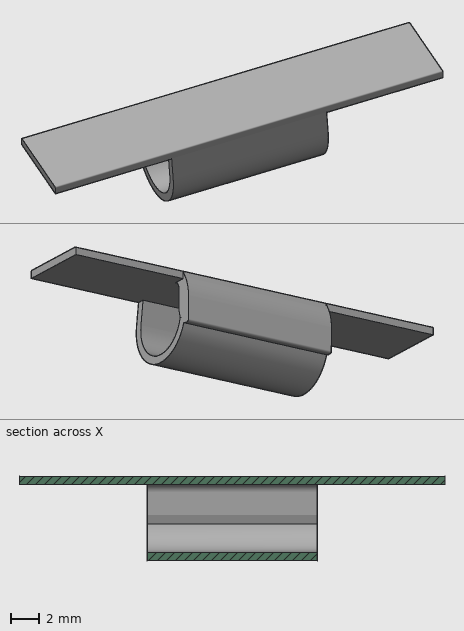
import cadquery as cq
import math

PLATE_LENGTH = 30.0
PLATE_WIDTH = 5.8
PLATE_THICKNESS = 0.6
PLATE_TOP_Z = 2.8
PLATE_EDGE_RADIUS = 0.1

CLIP_LENGTH = 12.0
RING_RADIUS = 3.2
WALL = 0.6

WALL_OUTER_X = -3.6
WALL_INNER_X = -2.35
WALL_BOTTOM_Z = -1.2
WALL_BOTTOM_FLAT = 0.25
WALL_BOTTOM_FILLET = 0.15
NOTCH_Z = -1.14
SHOULDER_START_Z = 0.73
SHOULDER_RADIUS = 3.05
INNER_FACE_BOTTOM_Z = 0.05
RECESS_Z = -0.6
CORNER_WIDTH = 0.45
CORNER_HEIGHT = 0.55

PLATE_BOTTOM_Z = PLATE_TOP_Z - PLATE_THICKNESS
PLATE_HALF_WIDTH = PLATE_WIDTH / 2
BORE_RADIUS = RING_RADIUS - WALL


def point_on_circle(radius, angle):
    return (radius * math.cos(angle), radius * math.sin(angle))


def tangent_angle(point, radius):
    """Polar angle where a line from an upper right point touches the ring's right side."""
    return math.atan2(point[1], point[0]) - math.acos(radius / math.hypot(*point))


def shoulder_point(height):
    """Point on the shoulder arc, which leaves the vertical outer face tangentially."""
    rise = height - SHOULDER_START_Z
    inset = SHOULDER_RADIUS - math.sqrt(SHOULDER_RADIUS**2 - rise**2)
    return (WALL_OUTER_X + inset, height)


def extrude_along_y(profile, length):
    """Extrude a profile on the XZ plane by half the length to each side."""
    return profile.extrude(length / 2, both=True)


def make_plate():
    plate = cq.Workplane("XY").box(PLATE_WIDTH, PLATE_LENGTH, PLATE_THICKNESS)
    plate = plate.translate((0, 0, PLATE_TOP_Z - PLATE_THICKNESS / 2))
    return plate.faces(">Z").edges("|Y").fillet(PLATE_EDGE_RADIUS)


def make_clip_body():
    plate_corner = (PLATE_HALF_WIDTH, PLATE_BOTTOM_Z)
    touch = point_on_circle(RING_RADIUS, tangent_angle(plate_corner, RING_RADIUS))
    notch_corner = (-math.sqrt(RING_RADIUS**2 - NOTCH_Z**2), NOTCH_Z)
    fillet_end_x = WALL_OUTER_X + WALL_BOTTOM_FILLET
    edge_centre = (PLATE_EDGE_RADIUS - PLATE_HALF_WIDTH, PLATE_TOP_Z - PLATE_EDGE_RADIUS)
    edge_offset = PLATE_EDGE_RADIUS * math.sqrt(0.5)
    edge_middle = (edge_centre[0] - edge_offset, edge_centre[1] + edge_offset)
    shoulder_middle_z = (SHOULDER_START_Z + PLATE_BOTTOM_Z) / 2
    profile = (
        cq.Workplane("XZ")
        .moveTo(*plate_corner)
        .lineTo(*touch)
        .threePointArc((0, -RING_RADIUS), notch_corner)
        .lineTo(fillet_end_x + WALL_BOTTOM_FLAT, WALL_BOTTOM_Z)
        .lineTo(fillet_end_x, WALL_BOTTOM_Z)
        .radiusArc((WALL_OUTER_X, WALL_BOTTOM_Z + WALL_BOTTOM_FILLET), WALL_BOTTOM_FILLET)
        .lineTo(WALL_OUTER_X, SHOULDER_START_Z)
        .threePointArc(shoulder_point(shoulder_middle_z), shoulder_point(PLATE_BOTTOM_Z))
        .lineTo(*edge_middle)
        .lineTo(*edge_centre)
        .lineTo(-PLATE_HALF_WIDTH, PLATE_BOTTOM_Z)
        .close()
    )
    return extrude_along_y(profile, CLIP_LENGTH)


def make_clip_opening():
    right_corner = (PLATE_HALF_WIDTH - WALL, PLATE_BOTTOM_Z)
    touch = point_on_circle(BORE_RADIUS, tangent_angle(right_corner, BORE_RADIUS))
    recess_corner = (-math.sqrt(BORE_RADIUS**2 - RECESS_Z**2), RECESS_Z)
    profile = (
        cq.Workplane("XZ")
        .moveTo(*right_corner)
        .lineTo(*touch)
        .threePointArc((0, -BORE_RADIUS), recess_corner)
        .lineTo(WALL_INNER_X, INNER_FACE_BOTTOM_Z)
        .lineTo(WALL_INNER_X, PLATE_BOTTOM_Z - CORNER_HEIGHT)
        .tangentArcPoint((WALL_INNER_X + CORNER_WIDTH, PLATE_BOTTOM_Z), relative=False)
        .close()
    )
    return extrude_along_y(profile, CLIP_LENGTH)


result = make_clip_body().cut(make_clip_opening()).union(make_plate(), clean=False)